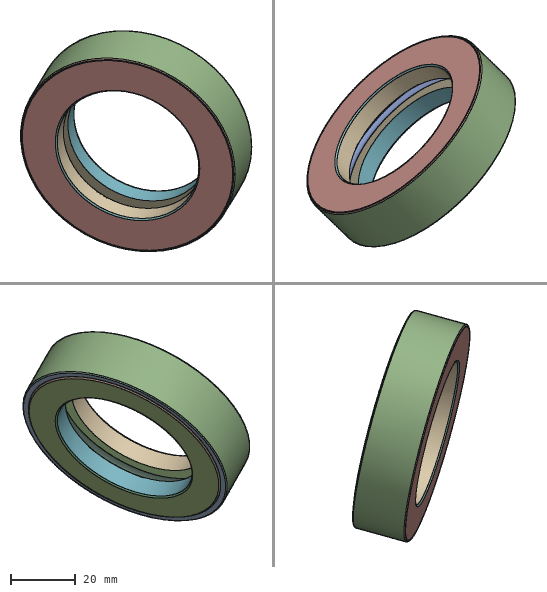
import cadquery as cq
total_width = 17.45
front_y = -total_width / 2
rear_y = total_width / 2
edge_chamfer = 0.5

shroud_diameter = 69.85
shroud_bore = 68.8
rear_washer_protrusion = 0.4
lip_thickness = 0.7
shroud_rear_y = rear_y - rear_washer_protrusion
shroud_chamfer = 0.35

washer_bore = 46.0
washer_thickness = 6.5
front_washer_diameter = 68.45
rear_washer_diameter = 65.8
raceway_pitch_radius = 28.65
raceway_section_radius = 2.9


def ring(outer_diameter, bore, start_y, end_y):
    """Plain ring about the Y axis between two Y positions."""
    return (
        cq.Workplane("XZ", origin=(0, start_y, 0))
        .circle(outer_diameter / 2)
        .circle(bore / 2)
        .extrude(start_y - end_y)
    )


def raceway():
    """Torus centred between the washers that cuts a groove in each of them."""
    return cq.Workplane(
        cq.Solid.makeTorus(
            raceway_pitch_radius,
            raceway_section_radius,
            cq.Vector(0, 0, 0),
            cq.Vector(0, 1, 0),
        )
    )


def make_front_washer():
    washer = ring(front_washer_diameter, washer_bore, front_y, front_y + washer_thickness)
    bore_edge = washer.faces("<Y").edges(cq.selectors.RadiusNthSelector(0))
    return bore_edge.chamfer(edge_chamfer).cut(raceway())


def make_rear_washer():
    washer = ring(rear_washer_diameter, washer_bore, rear_y - washer_thickness, rear_y)
    return washer.faces(">Y").edges().chamfer(edge_chamfer).cut(raceway())


def make_shroud():
    blank = ring(shroud_diameter, rear_washer_diameter, front_y, shroud_rear_y)
    outer_rims = blank.edges("%CIRCLE").edges(cq.selectors.RadiusNthSelector(-1))
    chamfered = outer_rims.chamfer(shroud_chamfer)
    cavity = ring(shroud_bore, washer_bore, front_y, shroud_rear_y - lip_thickness)
    return chamfered.cut(cavity)


front_washer = make_front_washer()
rear_washer = make_rear_washer()
shroud = make_shroud()

result = cq.Compound.makeCompound([front_washer.val(), rear_washer.val(), shroud.val()])